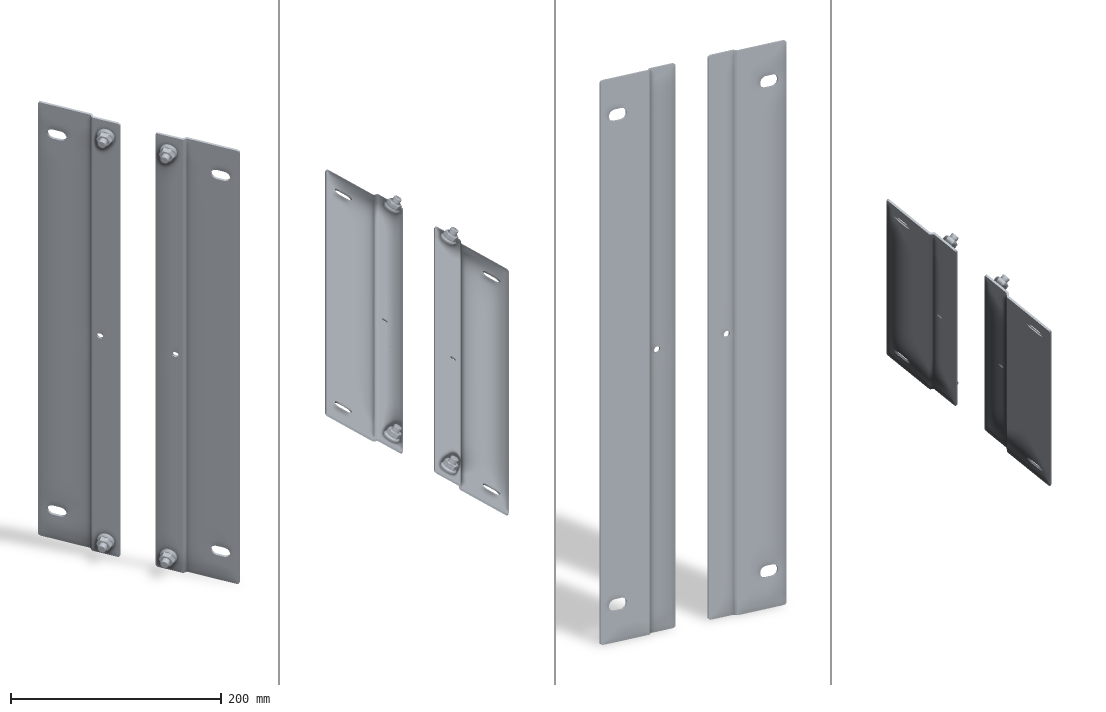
import cadquery as cq
import math

length = 584.0
overall_width = 203.0
overall_depth = 18.5
back_y = overall_depth / 2

sheet = 2.05
joggle_offset = 3.0
outer_bend_radius = sheet
bend_angle = math.radians(45)
joggle_run = joggle_offset / math.tan(bend_angle)
bracket_width = 83.5
joggle_from_edge = 52.5
corner_radius = 3.0
outer_x = overall_width / 2
inner_x = outer_x - bracket_width
joggle_x = outer_x - joggle_from_edge
bend_shift = sheet * math.tan(bend_angle / 2)
seat_y = back_y - sheet - joggle_offset

slot_length = 19.0
slot_height = 12.0
slot_x = 82.5
slot_z = 253.5

middle_hole_diameter = 6.5
middle_hole_x = 38.0

stud_x = 31.5
stud_z = 273.0
stud_diameter = 8.0
stud_tip_diameter = 7.5

flange_diameter = 17.0
flange_thickness = 3.5
flange_cone_height = 1.0
flange_top_diameter = 14.5
nut_mouth_diameter = 9.5
nut_crown_diameter = 12.0
nut_height = 9.0
hex_sides = 6
hex_across_flats = 13.0
hex_across_corners = hex_across_flats / math.cos(math.pi / hex_sides)
nut_crown_angle = math.radians(30)

sides = (-1, 1)
ends = (-1, 1)


def y_cylinder(diameter, x, z, start_y, depth):
    """Cylinder from start_y toward -Y."""
    plane = cq.Plane(origin=(x, start_y, z), xDir=(1, 0, 0), normal=(0, -1, 0))
    return cq.Workplane(plane).circle(diameter / 2).extrude(depth)


def make_slot(x, z):
    """Cutter for a slot along X, right through the sheet."""
    plane = cq.Plane(origin=(x, back_y, z), xDir=(1, 0, 0), normal=(0, -1, 0))
    return cq.Workplane(plane).slot2D(slot_length, slot_height).extrude(overall_depth)


def make_bracket(side):
    """Joggled strip with slots, stud holes and a middle hole; side is the sign of its X."""
    back_bend = (joggle_x - bend_shift, back_y)
    front_bend = (joggle_x - joggle_run, seat_y)
    section = [
        (outer_x, back_y),
        back_bend,
        (joggle_x - bend_shift - joggle_run, back_y - joggle_offset),
        (inner_x, back_y - joggle_offset),
        (inner_x, seat_y),
        front_bend,
        (joggle_x, back_y - sheet),
        (outer_x, back_y - sheet),
    ]
    points = [(side * x, y) for x, y in section]
    bracket = cq.Workplane("XY").polyline(points).close().extrude(length / 2, both=True)
    for x, y in (back_bend, front_bend):
        outer_bend = cq.selectors.NearestToPointSelector((side * x, y, 0))
        bracket = bracket.edges(outer_bend).fillet(outer_bend_radius)
    bracket = bracket.edges("|Y").edges("<X or >X").fillet(corner_radius)
    bracket = bracket.cut(y_cylinder(middle_hole_diameter, side * middle_hole_x, 0, back_y, overall_depth))
    for end in ends:
        bracket = bracket.cut(make_slot(side * slot_x, end * slot_z))
        bracket = bracket.cut(y_cylinder(stud_diameter, side * stud_x, end * stud_z, back_y, overall_depth))
    return bracket


def make_stud(x, z):
    """Stud flush with the back of the inner strip, with a small chamfer at its tip."""
    root_y = back_y - joggle_offset
    stud = y_cylinder(stud_diameter, x, z, root_y, overall_depth - joggle_offset)
    return stud.faces("<Y").chamfer((stud_diameter - stud_tip_diameter) / 2)


def make_nut(x, z):
    """Crowned hexagon on a bevelled round flange, corners toward X, bored for the stud."""
    plane = cq.Plane(origin=(x, seat_y, z), xDir=(1, 0, 0), normal=(0, -1, 0))
    hexagon = cq.Workplane(plane).polygon(hex_sides, hex_across_corners).extrude(nut_height)
    crown = y_cylinder(hex_across_corners, x, z, seat_y, nut_height)
    corner_cut = (hex_across_corners - nut_crown_diameter) / 2
    crown = crown.faces("<Y").chamfer(corner_cut * math.tan(nut_crown_angle), corner_cut)
    hexagon = hexagon.intersect(crown)
    flange = y_cylinder(flange_diameter, x, z, seat_y, flange_thickness)
    flange = flange.faces("<Y").chamfer(flange_cone_height, (flange_diameter - flange_top_diameter) / 2)
    nut = hexagon.union(flange).cut(y_cylinder(stud_diameter, x, z, seat_y, nut_height))
    mouth_edge = nut.faces("<Y").edges(cq.selectors.RadiusNthSelector(0))
    return mouth_edge.chamfer((nut_mouth_diameter - stud_diameter) / 2)


brackets = [make_bracket(side) for side in sides]
stud_places = [(side * stud_x, end * stud_z) for side in sides for end in ends]
studs = [make_stud(x, z) for x, z in stud_places]
nuts = [make_nut(x, z) for x, z in stud_places]

result = cq.Compound.makeCompound([body.val() for body in brackets + studs + nuts])